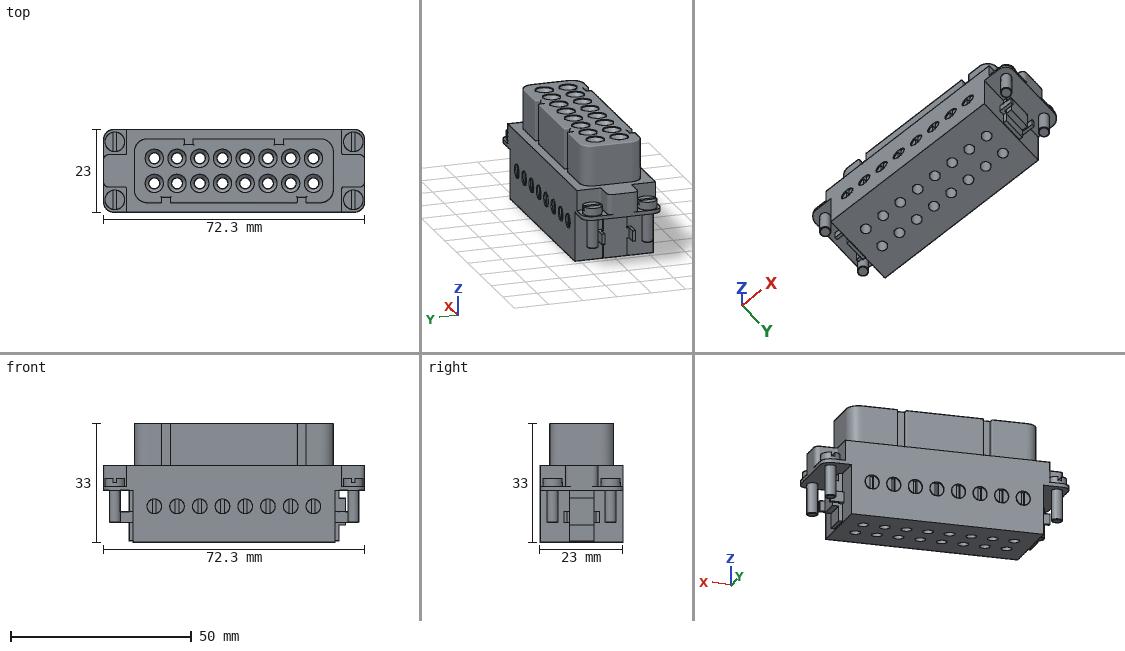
import cadquery as cq

total_length = 72.3
total_width = 23.0
total_height = 33.0

body_length = 55.95
flange_bottom = 14.4
flange_thickness = 1.1
flange_corner_radius = 2.9
shoulder_height = 21.3
shoulder_length = 59.6
tab_width = 9.0
tab_corner_radius = 1.45
tab_root_radius = 0.4

fixing_spacing_x = 66.0
fixing_spacing_y = 16.05
fixing_head_diameter = 5.4
fixing_head_height = 2.25
fixing_shank_diameter = 3.1
fixing_shank_bottom = 5.5
fixing_tip_chamfer = 0.2
screw_slot_width = 1.0
screw_slot_depth = 1.1

insert_offset_x = -0.1
insert_length = 55.1
insert_width = 17.7
insert_corner_radius = 3.6
insert_edge_radius = 0.3
notch_width = 2.4
notch_depth = 1.5
front_notch_spacing = 37.5
back_notch_spacing = 25.0

contacts_per_row = 8
contact_pitch = 6.3
contact_row_spacing = 6.95
contact_bore_diameter = 3.0
contact_mouth_diameter = 5.05
contact_mouth_rim = 0.3
contact_mouth_depth = 1.6

terminal_height = 10.0
terminal_diameter = 4.05
terminal_recess = 0.35

key_span = 58.1
key_width = 6.8
key_bottom = 0.4
crossbar_width = 9.8
crossbar_bottom = 5.5
crossbar_height = 3.05
ear_thickness = 0.9
ear_span = 64.05

coding_block_reach = 30.9
coding_block_bottom = 4.8
coding_block_height = 7.45


def block(length, width, bottom, height, x=0.0, y=0.0):
    """Box centred on (x, y) that rises from z = bottom."""
    box = cq.Workplane("XY").box(length, width, height, centered=(True, True, False))
    return box.translate((x, y, bottom))


def cylinder(diameter, bottom, height):
    return cq.Workplane("XY").workplane(offset=bottom).circle(diameter / 2).extrude(height)


def make_body():
    lower = block(body_length, total_width, 0, flange_bottom)
    plate = block(total_length, total_width, flange_bottom, flange_thickness)
    plate = plate.edges("|Z").fillet(flange_corner_radius)

    shelf = flange_bottom + flange_thickness
    shoulder = block(shoulder_length, total_width, shelf, shoulder_height - shelf)
    tabs = block(total_length, tab_width, shelf, shoulder_height - shelf)
    tabs = tabs.edges("|Z").fillet(tab_corner_radius)
    upper = shoulder.union(tabs)
    root_x = shoulder_length / 2
    root_y = tab_width / 2
    margin = 0.1
    for x in (-root_x, root_x):
        root_zone = cq.selectors.BoxSelector(
            (x - margin, -root_y - margin, shelf),
            (x + margin, root_y + margin, shoulder_height),
        )
        upper = upper.edges(root_zone).edges("|Z").fillet(tab_root_radius)
    return lower.union(plate).union(upper)


def make_insert():
    height = total_height - shoulder_height
    insert = block(insert_length, insert_width, shoulder_height, height)
    insert = insert.edges("|Z").fillet(insert_corner_radius)
    for side, spacing in ((-1, front_notch_spacing), (1, back_notch_spacing)):
        for x in (-spacing / 2, spacing / 2):
            wall_y = side * insert_width / 2
            insert = insert.cut(block(notch_width, 2 * notch_depth, shoulder_height, height, x, wall_y))
    outer_mouth_x = (front_notch_spacing + notch_width) / 2 + insert_edge_radius
    mouth_zone = cq.selectors.BoxSelector(
        (-outer_mouth_x, -insert_width, shoulder_height),
        (outer_mouth_x, insert_width, total_height),
    )
    insert = insert.faces("<Y or >Y").edges("|Z").edges(mouth_zone).fillet(insert_edge_radius)
    insert = insert.faces(">Z").edges().fillet(insert_edge_radius)
    return insert.translate((insert_offset_x, 0, 0))


def make_fixing_screw():
    shelf = flange_bottom + flange_thickness
    head_top = shelf + fixing_head_height
    shank = cylinder(fixing_shank_diameter, fixing_shank_bottom, shelf - fixing_shank_bottom)
    shank = shank.faces("<Z").chamfer(fixing_tip_chamfer)
    head = cylinder(fixing_head_diameter, shelf, fixing_head_height)
    slot = block(screw_slot_width, fixing_head_diameter, head_top - screw_slot_depth, screw_slot_depth)
    return shank.union(head.cut(slot))


def make_contact_bore():
    """Through bore that opens into a cone with a short straight rim at the top."""
    bore_radius = contact_bore_diameter / 2
    mouth_radius = contact_mouth_diameter / 2
    return (
        cq.Workplane("XZ")
        .moveTo(0, 0)
        .lineTo(bore_radius, 0)
        .lineTo(bore_radius, total_height - contact_mouth_depth)
        .lineTo(mouth_radius, total_height - contact_mouth_rim)
        .lineTo(mouth_radius, total_height)
        .lineTo(0, total_height)
        .close()
        .revolve(360, (0, 0), (0, 1))
        .val()
    )


def make_contact_bores():
    centres = cq.Workplane("XY").rarray(contact_pitch, contact_row_spacing, contacts_per_row, 2)
    return centres.eachpoint(make_contact_bore(), combine=True).translate((insert_offset_x, 0, 0))


def make_terminal_recesses():
    """Round recess and a deeper screwdriver slot for each terminal screw, in both walls."""
    depth = terminal_recess + screw_slot_depth
    recesses = cq.Workplane("XY")
    for side in (-1, 1):
        wall = cq.Workplane("XZ", origin=(insert_offset_x, side * total_width / 2, terminal_height))
        centres = wall.rarray(contact_pitch, 0.7, contacts_per_row, 1)
        rounds = centres.circle(terminal_diameter / 2).extrude(terminal_recess, both=True)
        full_depth = centres.circle(terminal_diameter / 2).extrude(depth, both=True)
        slots = centres.rect(screw_slot_width, terminal_diameter).extrude(depth, both=True)
        recesses = recesses.add(rounds.union(slots.intersect(full_depth)))
    return recesses.combine()


def make_end_keys():
    keys = block(key_span, key_width, key_bottom, flange_bottom - key_bottom)
    crossbars = block(key_span, crossbar_width, crossbar_bottom, crossbar_height)
    keys = keys.union(crossbars)
    ear_y = (crossbar_width - ear_thickness) / 2
    for y in (-ear_y, ear_y):
        keys = keys.union(block(ear_span, ear_thickness, crossbar_bottom, crossbar_height, y=y))
    coding_block = block(
        coding_block_reach, key_width, coding_block_bottom, coding_block_height, x=coding_block_reach / 2
    )
    return keys.union(coding_block)


result = make_body().union(make_insert()).union(make_end_keys())
for x in (-fixing_spacing_x / 2, fixing_spacing_x / 2):
    for y in (-fixing_spacing_y / 2, fixing_spacing_y / 2):
        result = result.union(make_fixing_screw().translate((x, y, 0)))
result = result.cut(make_contact_bores()).cut(make_terminal_recesses())